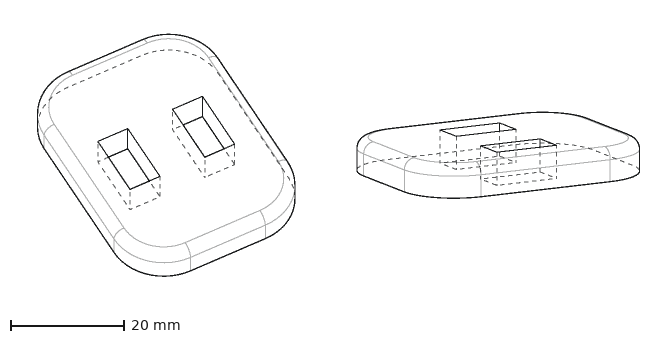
import cadquery as cq

plate_length = 46.0
plate_width = 35.0
plate_thickness = 6.0
corner_radius = 10.0
top_edge_radius = 2.0

window_length = 12.0
window_width = 6.0
window_spacing = 15.0


def rounded_plate():
    """Flat plate on Z = 0 with round corners and a rounded top edge."""
    plate = cq.Workplane("XY").box(
        plate_length, plate_width, plate_thickness, centered=(True, True, False)
    )
    plate = plate.edges("|Z").fillet(corner_radius)
    return plate.faces(">Z").edges().fillet(top_edge_radius)


def window_cutters():
    """Two rectangular prisms running through the full plate thickness."""
    window_centres = [(0, -window_spacing / 2), (0, window_spacing / 2)]
    return (
        cq.Workplane("XY")
        .pushPoints(window_centres)
        .rect(window_length, window_width)
        .extrude(plate_thickness)
    )


result = rounded_plate().cut(window_cutters())